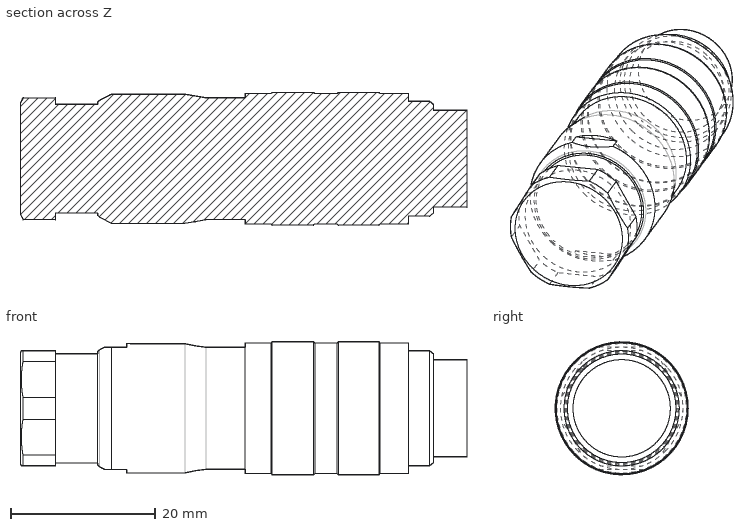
import cadquery as cq
import math

total_length = 62.0

nut_end = 4.9
body_start = 10.7
body_shoulder = 12.65
wrench_flat_end = 14.75
taper_start = 22.8
taper_end = 25.7
sleeve_start = 31.2
grip_ring_spans = [(34.8, 40.85), (43.95, 49.9)]
sleeve_end = 53.9
collar_end = 57.35

nut_diameter = 17.0
nut_across_flats = 16.0
nut_face_diameter = 15.45
neck_diameter = 15.2
body_diameter = 18.0
body_nose_diameter = 16.25
waist_diameter = 17.0
wrench_across_flats = waist_diameter
sleeve_diameter = 18.15
grip_ring_diameter = 18.5
collar_diameter = 16.0
collar_tip_diameter = 15.05
plug_diameter = 13.5

nut_chamfer_length = 0.4
nose_chamfer = 0.25
collar_chamfer_length = 0.55


def cylinder(start, end, diameter):
    """Solid cylinder between two X stations."""
    return cq.Workplane("YZ", origin=(start, 0, 0)).circle(diameter / 2).extrude(end - start)


def cone(start, end, start_diameter, end_diameter):
    """Solid truncated cone between two X stations."""
    profile = [(start, 0), (start, start_diameter / 2), (end, end_diameter / 2), (end, 0)]
    return cq.Workplane("XY").polyline(profile).close().revolve(360, (0, 0, 0), (1, 0, 0))


def make_nut():
    """Hexagon with two flats facing +Z and -Z, its corners turned to a cylinder and its face chamfered."""
    across_corners = nut_across_flats / math.cos(math.pi / 6)
    hexagon = cq.Workplane("YZ").polygon(6, across_corners).extrude(nut_end)
    envelope = cone(0, nut_chamfer_length, nut_face_diameter, nut_diameter).union(
        cylinder(nut_chamfer_length, nut_end, nut_diameter)
    )
    return hexagon.intersect(envelope)


def make_body():
    """Main barrel with a conical nose, a rear taper and two opposite wrench flats."""
    nose_edge = body_start + nose_chamfer
    nose_tip_diameter = body_nose_diameter - 2 * nose_chamfer
    barrel = (
        cone(body_start, nose_edge, nose_tip_diameter, body_nose_diameter)
        .union(cone(nose_edge, body_shoulder, body_nose_diameter, body_diameter))
        .union(cylinder(body_shoulder, taper_start, body_diameter))
        .union(cone(taper_start, taper_end, body_diameter, waist_diameter))
        .union(cylinder(taper_end, sleeve_start, waist_diameter))
    )
    flat_length = wrench_flat_end - body_start
    for side in (1, -1):
        cutter = cq.Workplane("XY").box(flat_length, body_diameter, body_diameter).translate(
            (body_start + flat_length / 2, 0, side * (wrench_across_flats + body_diameter) / 2)
        )
        barrel = barrel.cut(cutter)
    return barrel


def make_sleeve():
    """Coupling sleeve with raised grip rings whose edges are chamfered down to the sleeve."""
    sleeve = cylinder(sleeve_start, sleeve_end, sleeve_diameter)
    ring_chamfer = (grip_ring_diameter - sleeve_diameter) / 2
    for start, end in grip_ring_spans:
        ring_start = start + ring_chamfer
        ring_end = end - ring_chamfer
        sleeve = (
            sleeve.union(cone(start, ring_start, sleeve_diameter, grip_ring_diameter))
            .union(cylinder(ring_start, ring_end, grip_ring_diameter))
            .union(cone(ring_end, end, grip_ring_diameter, sleeve_diameter))
        )
    return sleeve


def make_front_end():
    """Chamfered collar followed by the plain plug."""
    chamfer_start = collar_end - collar_chamfer_length
    return (
        cylinder(sleeve_end, chamfer_start, collar_diameter)
        .union(cone(chamfer_start, collar_end, collar_diameter, collar_tip_diameter))
        .union(cylinder(collar_end, total_length, plug_diameter))
    )


result = (
    make_nut()
    .union(cylinder(nut_end, body_start, neck_diameter))
    .union(make_body())
    .union(make_sleeve())
    .union(make_front_end())
)